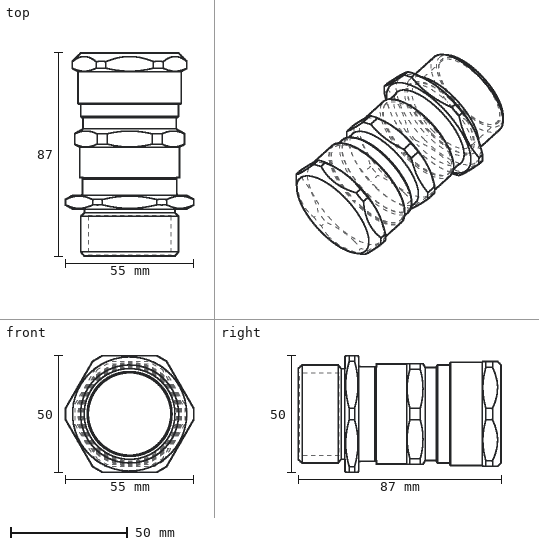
import cadquery as cq
import math

LENGTH = 87.0

SPIGOT_DIAMETER = 42.0
RELIEF_DIAMETER = 38.9
SPIGOT_LEAD_IN = 1.7
SPIGOT_SHOULDER_Y = 17.1
RELIEF_Y = 18.45
BORE_DIAMETER = 35.3
BORE_DEPTH = 17.5
BORE_CHAMFER = 0.5

FLANGE_START, FLANGE_END = 20.1, 26.0
FLANGE_FLATS, FLANGE_CORNERS = 50.0, 55.0
FLANGE_FACE_DIAMETER = 48.9
MIDDLE_START, MIDDLE_END = 46.6, 54.5
MIDDLE_FLATS, MIDDLE_CORNERS = 43.2, 47.1
CAP_START = 79.0
CAP_FLATS, CAP_CORNERS = 45.0, 49.15
CAP_FACE_DIAMETER = 41.9
NUT_CHAMFER_ANGLE = 30
CAP_CHAMFER_ANGLE = 45

LOWER_NECK_DIAMETER = 40.5
LOWER_NECK_FOOT_DIAMETER = 41.0
LOWER_NECK_FOOT_HEIGHT = 0.7
LOWER_NECK_TIP_DIAMETER = 40.0
LOWER_NECK_TIP_HEIGHT = 0.7
LOWER_NECK_END = 33.6
MIDDLE_SLEEVE_DIAMETER = 42.9
UPPER_NECK_DIAMETER = 40.0
COLLAR_DIAMETER = 42.0
COLLAR_START = 59.2
COLLAR_CHAMFER = 0.7
CAP_SLEEVE_DIAMETER = 44.4
CAP_SLEEVE_START = 65.1
CAP_SLEEVE_CHAMFER = 0.35


def revolve_profile(points):
    """Turn (radius, Y) points about the Y axis."""
    return cq.Workplane("XY").polyline(points).close().revolve(360, (0, 0, 0), (0, 1, 0))


def cylinder(diameter, start, end):
    radius = diameter / 2
    return revolve_profile([(0, start), (radius, start), (radius, end), (0, end)])


def chamfered_cylinder(diameter, start, end, chamfer):
    """Cylinder with a 45 degree chamfer at its start."""
    radius = diameter / 2
    return revolve_profile(
        [(0, start), (radius - chamfer, start), (radius, start + chamfer), (radius, end), (0, end)]
    )


def hexagon(size, start, end):
    """Hexagonal prism along Y with corners on the X axis."""
    corner_diameter = size / math.cos(math.radians(30))
    plane = cq.Workplane("XZ", origin=(0, start, 0))
    return plane.polygon(6, corner_diameter).extrude(start - end)


def nut(flats, corners, start, end, start_face, end_face, end_angle=NUT_CHAMFER_ANGLE):
    """Hexagon with flat-cut corners and a conical chamfer on each end face."""
    body = hexagon(flats, start, end)
    corner_cutter = hexagon(corners, start, end).rotate((0, 0, 0), (0, 1, 0), 30)
    cone_radius = flats / math.sqrt(3)
    start_rise = (cone_radius - start_face / 2) * math.tan(math.radians(NUT_CHAMFER_ANGLE))
    end_drop = (cone_radius - end_face / 2) * math.tan(math.radians(end_angle))
    envelope = revolve_profile([
        (0, start),
        (start_face / 2, start),
        (cone_radius, start + start_rise),
        (cone_radius, end - end_drop),
        (end_face / 2, end),
        (0, end),
    ])
    return body.intersect(corner_cutter).intersect(envelope)


def spigot():
    outer = SPIGOT_DIAMETER / 2
    relief = RELIEF_DIAMETER / 2
    return revolve_profile([
        (0, 0),
        (relief, 0),
        (outer, SPIGOT_LEAD_IN),
        (outer, SPIGOT_SHOULDER_Y),
        (relief, RELIEF_Y),
        (relief, FLANGE_START),
        (0, FLANGE_START),
    ])


def lower_neck():
    """Round neck with a short tapered foot and tip."""
    radius = LOWER_NECK_DIAMETER / 2
    return revolve_profile([
        (0, FLANGE_END),
        (LOWER_NECK_FOOT_DIAMETER / 2, FLANGE_END),
        (radius, FLANGE_END + LOWER_NECK_FOOT_HEIGHT),
        (radius, LOWER_NECK_END - LOWER_NECK_TIP_HEIGHT),
        (LOWER_NECK_TIP_DIAMETER / 2, LOWER_NECK_END),
        (0, LOWER_NECK_END),
    ])


def bore():
    radius = BORE_DIAMETER / 2
    return revolve_profile([
        (0, 0),
        (radius + BORE_CHAMFER, 0),
        (radius, BORE_CHAMFER),
        (radius, BORE_DEPTH),
        (0, BORE_DEPTH),
    ])


sections = [
    nut(FLANGE_FLATS, FLANGE_CORNERS, FLANGE_START, FLANGE_END,
        FLANGE_FACE_DIAMETER, FLANGE_FACE_DIAMETER),
    lower_neck(),
    cylinder(MIDDLE_SLEEVE_DIAMETER, LOWER_NECK_END, MIDDLE_START),
    nut(MIDDLE_FLATS, MIDDLE_CORNERS, MIDDLE_START, MIDDLE_END,
        MIDDLE_SLEEVE_DIAMETER, UPPER_NECK_DIAMETER),
    cylinder(UPPER_NECK_DIAMETER, MIDDLE_END, COLLAR_START),
    chamfered_cylinder(COLLAR_DIAMETER, COLLAR_START, CAP_SLEEVE_START, COLLAR_CHAMFER),
    chamfered_cylinder(CAP_SLEEVE_DIAMETER, CAP_SLEEVE_START, CAP_START, CAP_SLEEVE_CHAMFER),
    nut(CAP_FLATS, CAP_CORNERS, CAP_START, LENGTH,
        CAP_SLEEVE_DIAMETER, CAP_FACE_DIAMETER, CAP_CHAMFER_ANGLE),
]

result = spigot()
for section in sections:
    result = result.union(section)
result = result.cut(bore())